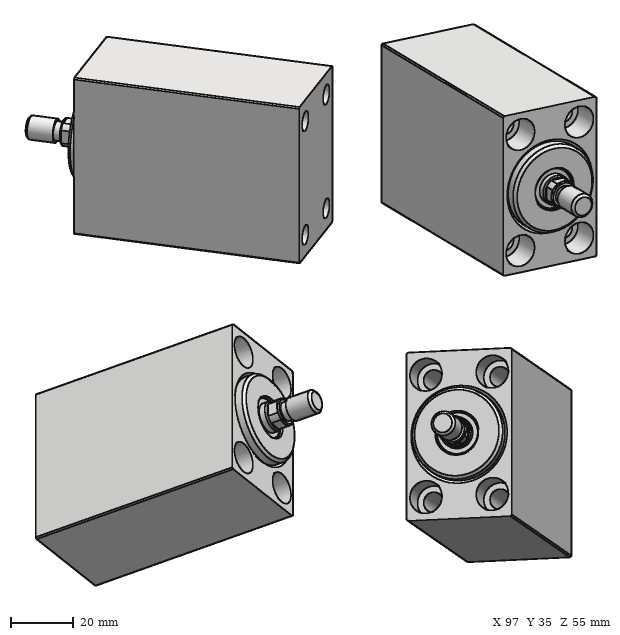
import cadquery as cq


total_length = 97.0
block_length = 76.0
block_width = 35.0
block_height = 55.0
edge_chamfer = 0.5

hole_spacing_y = 22.0
hole_spacing_z = 40.0
hole_diameter = 6.6
counterbore_diameter = 10.7
counterbore_depth = 9.7

gland_diameter = 30.0
gland_protrusion = 3.0
gland_chamfer = 1.0
gland_seat_depth = 9.7
seat_countersink = 1.0

wiper_diameter = 13.4
wiper_thickness = 2.9
relief_diameter = 14.5
relief_depth = 1.0

rod_diameter = 10.1
thread_diameter = 8.0
thread_length = 9.4
thread_chamfer = 0.9
neck_diameter = 6.4
neck_end = 11.8
wrench_diameter = 9.2
wrench_chamfer = 0.5
collar_width = 0.1
flat_width = 8.05
flat_length = 3.8
shoulder_length = 0.6

rod_tip = block_length - total_length
gland_front = -gland_protrusion
wiper_front = gland_front + relief_depth
wiper_back = wiper_front + wiper_thickness


def cylinder(diameter, start, end):
    """Solid cylinder on the X axis from x = start to x = end."""
    return cq.Workplane("YZ", origin=(start, 0, 0)).circle(diameter / 2).extrude(end - start)


def make_block():
    block = (
        cq.Workplane("XY")
        .box(block_length, block_width, block_height, centered=(False, True, True))
        .edges("|X")
        .chamfer(edge_chamfer)
    )
    block = (
        block.faces("<X")
        .workplane(centerOption="CenterOfBoundBox")
        .rarray(hole_spacing_y, hole_spacing_z, 2, 2)
        .cboreHole(hole_diameter, counterbore_diameter, counterbore_depth)
    )
    seat = cylinder(gland_diameter, 0, gland_seat_depth)
    seat_rim = cq.selectors.RadiusNthSelector(-1)
    return block.cut(seat).faces("<X").edges(seat_rim).chamfer(seat_countersink)


def make_gland():
    gland = cylinder(gland_diameter, gland_front, gland_seat_depth)
    gland = gland.faces("<X").edges().chamfer(gland_chamfer)
    rod_bore = cylinder(rod_diameter, gland_front, gland_seat_depth)
    wiper_seat = cylinder(wiper_diameter, wiper_front, wiper_back)
    relief = cylinder(relief_diameter, gland_front, wiper_front)
    return gland.cut(rod_bore).cut(wiper_seat).cut(relief)


def make_wiper():
    ring = cylinder(wiper_diameter, wiper_front, wiper_back)
    return ring.cut(cylinder(rod_diameter, wiper_front, wiper_back))


def make_rod():
    thread_end = rod_tip + thread_length
    wrench_start = rod_tip + neck_end
    flats_start = wrench_start + wrench_chamfer + collar_width
    flats_end = flats_start + flat_length
    shoulder_end = flats_end + shoulder_length

    profile = [
        (rod_tip, 0),
        (rod_tip, thread_diameter / 2 - thread_chamfer),
        (rod_tip + thread_chamfer, thread_diameter / 2),
        (thread_end, thread_diameter / 2),
        (thread_end, neck_diameter / 2),
        (wrench_start, neck_diameter / 2),
        (wrench_start, wrench_diameter / 2 - wrench_chamfer),
        (wrench_start + wrench_chamfer, wrench_diameter / 2),
        (flats_end, wrench_diameter / 2),
        (shoulder_end, rod_diameter / 2),
        (gland_seat_depth, rod_diameter / 2),
        (gland_seat_depth, 0),
    ]
    rod = cq.Workplane("XY").polyline(profile).close().revolve(360, (0, 0, 0), (1, 0, 0))

    square = (
        cq.Workplane("YZ", origin=(flats_start, 0, 0))
        .rect(flat_width, flat_width)
        .extrude(flat_length)
    )
    return rod.cut(cylinder(rod_diameter, flats_start, flats_end).cut(square))


block = make_block()
gland = make_gland()
wiper = make_wiper()
rod = make_rod()

result = cq.Compound.makeCompound([block.val(), gland.val(), wiper.val(), rod.val()])